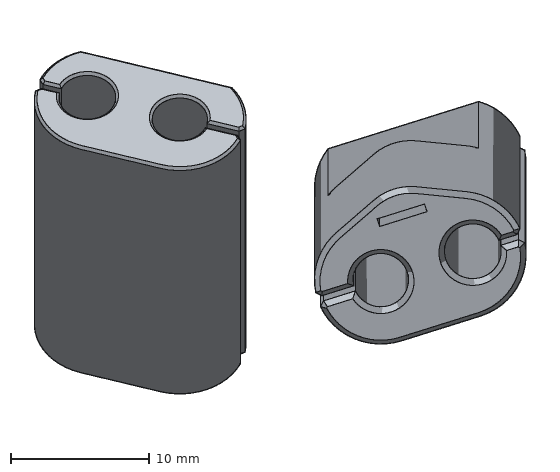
import cadquery as cq
import math

height = 26.0
end_radius = 4.8
end_center_x = 3.0
back_y = 3.95

hump_height = 14.0
hump_peak_y = 6.2
hump_radius = 4.0
hump_center_y = hump_peak_y - hump_radius
hump_chamfer_inset = 0.4
hump_chamfer_height = 1.0

bore_diameters = [4.1, 4.0]
bore_spacing = 7.0
bore_offset_x = -0.5
bore_centers_x = [bore_offset_x - bore_spacing / 2, bore_offset_x + bore_spacing / 2]
slit_width = 0.4
slit_mouth_chamfer = 0.35

passage_width = 3.6
passage_depth = 0.6

top_chamfer = 0.2
bottom_chamfer = 0.4

overall_half_width = end_center_x + end_radius

center_distance = math.hypot(end_center_x, hump_center_y)
center_line_angle = math.atan2(hump_center_y, -end_center_x)
flank_angle = center_line_angle - math.acos((end_radius - hump_radius) / center_distance)


def outline_with_hump():
    """Closed cross-section of the lower part: flat front, round ends, humped back."""
    flank_x = math.cos(flank_angle)
    flank_y = math.sin(flank_angle)
    end_tangent = (end_center_x + end_radius * flank_x, end_radius * flank_y)
    hump_tangent = (hump_radius * flank_x, hump_center_y + hump_radius * flank_y)
    return (
        cq.Workplane("XY")
        .moveTo(-end_center_x, -end_radius)
        .lineTo(end_center_x, -end_radius)
        .threePointArc((overall_half_width, 0), end_tangent)
        .lineTo(*hump_tangent)
        .threePointArc((0, hump_peak_y), (-hump_tangent[0], hump_tangent[1]))
        .lineTo(-end_tangent[0], end_tangent[1])
        .threePointArc((-overall_half_width, 0), (-end_center_x, -end_radius))
        .close()
    )


def block(width, y_min, y_max, z_min, z_max):
    """Box centred on X = 0 between the given Y and Z limits."""
    return (
        cq.Workplane("XY", origin=(0, (y_min + y_max) / 2, z_min))
        .rect(width, y_max - y_min)
        .extrude(z_max - z_min)
    )


def make_hump():
    """Part of the lower section behind the back face, with a steep top chamfer."""
    lower = outline_with_hump().extrude(hump_height)
    top_edges = lower.faces(">Z").edges().vals()
    lower = lower.newObject(
        [lower.val().chamfer(hump_chamfer_height, hump_chamfer_inset, top_edges)]
    )
    return lower.intersect(
        block(2 * overall_half_width, back_y, hump_peak_y, 0, hump_height)
    )


def make_slit(side, bore_x):
    """Full-height slit from a bore out to the end on the given side, flared at its mouth."""
    half_slit = slit_width / 2
    half_mouth = half_slit + slit_mouth_chamfer
    mouth_x = end_center_x + math.sqrt(end_radius**2 - half_mouth**2)
    throat_x = mouth_x - slit_mouth_chamfer
    outer_x = overall_half_width + slit_mouth_chamfer
    half_outer = half_mouth + outer_x - mouth_x
    return (
        cq.Workplane("XY")
        .moveTo(bore_x, -half_slit)
        .lineTo(side * throat_x, -half_slit)
        .lineTo(side * outer_x, -half_outer)
        .lineTo(side * outer_x, half_outer)
        .lineTo(side * throat_x, half_slit)
        .lineTo(bore_x, half_slit)
        .close()
        .extrude(height)
    )


def make_body():
    """Full-height body with a flat back, bored and slit at both ends."""
    body = outline_with_hump().extrude(height).intersect(
        block(2 * overall_half_width, -end_radius, back_y, 0, height)
    )
    for bore_x, bore_diameter in zip(bore_centers_x, bore_diameters):
        bore = cq.Workplane("XY").center(bore_x, 0).circle(bore_diameter / 2).extrude(height)
        body = body.cut(bore)
    for side, bore_x in zip((-1, 1), bore_centers_x):
        body = body.cut(make_slit(side, bore_x))
    return body.faces(">Z").edges().chamfer(top_chamfer)


def make_part():
    part = make_body().union(make_hump()).clean()
    part = part.faces("<Z").edges().chamfer(bottom_chamfer)
    passage = block(passage_width, back_y, back_y + passage_depth, 0, hump_height)
    return part.cut(passage)


result = make_part()